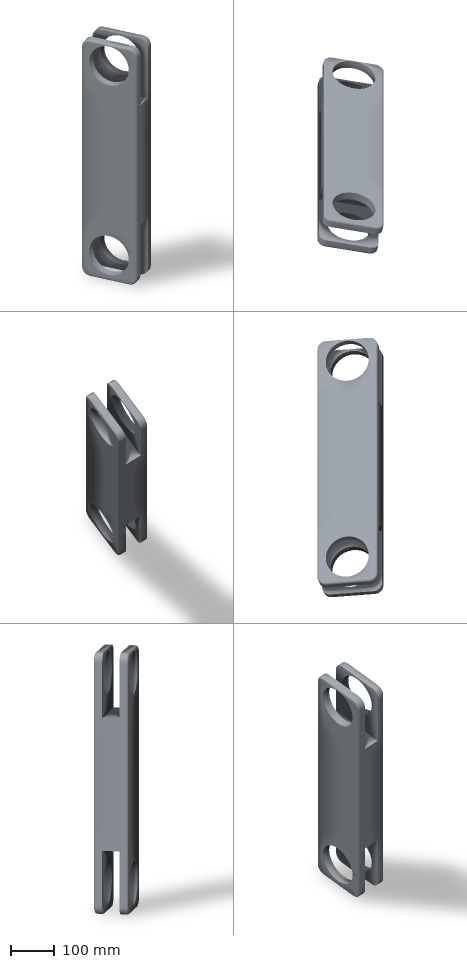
import cadquery as cq

length = 610.0
width = 140.0
thickness = 80.0
corner_radius = 20.0
edge_radius = 5.0

slot_width = 40.0
slot_depth = 150.0

hole_diameter = 100.0
top_hole_inset = 55.0
bottom_hole_inset = 65.0


def rounded_bar():
    """Bar with rounded corners and softened front and back rims."""
    bar = cq.Workplane("XY").box(width, thickness, length)
    bar = bar.edges("|Y").fillet(corner_radius)
    return bar.faces("<Y or >Y").edges().fillet(edge_radius)


def fork_slot(end):
    """Cutter for the slot at one end: 1 for the top, -1 for the bottom."""
    center_z = end * (length - slot_depth) / 2
    return cq.Workplane("XY").box(width, slot_width, slot_depth).translate((0, 0, center_z))


def pin_hole(center_z):
    """Cutter along Y through the full thickness."""
    hole = cq.Workplane("XZ").center(0, center_z).circle(hole_diameter / 2)
    return hole.extrude(thickness / 2, both=True)


result = rounded_bar()
for end in (1, -1):
    result = result.cut(fork_slot(end))
for center_z in (length / 2 - top_hole_inset, bottom_hole_inset - length / 2):
    result = result.cut(pin_hole(center_z))